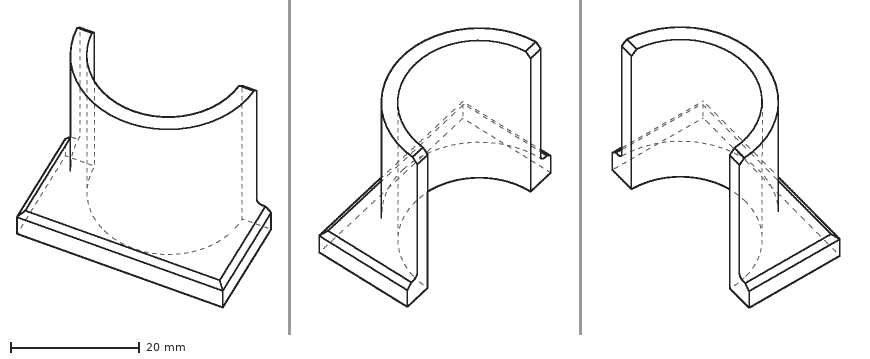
import cadquery as cq

base_width = 35.55
base_depth = base_width / 2
base_height = 5.0

total_height = 33.05
outer_radius = 15.3
wall_thickness = 2.55
inner_radius = outer_radius - wall_thickness

edge_size = 1.0


def make_base():
    """Plate with its top edge chamfered on every side except the back."""
    plate = cq.Workplane("XY").box(
        base_width, base_depth, base_height, centered=(True, False, False)
    ).translate((0, -base_depth, 0))
    return plate.faces(">Z").edges("not >Y").chamfer(edge_size)


def make_sleeve():
    """Half cylinder with a concave fillet flaring out onto the base."""
    foot_radius = outer_radius + edge_size
    fillet_top = base_height + edge_size
    fillet_mid_offset = edge_size * (1 - 0.5**0.5)
    profile = (
        cq.Workplane("XZ")
        .lineTo(outer_radius, 0)
        .lineTo(outer_radius, base_height)
        .lineTo(foot_radius, base_height)
        .threePointArc(
            (outer_radius + fillet_mid_offset, base_height + fillet_mid_offset),
            (outer_radius, fillet_top),
        )
        .lineTo(outer_radius, total_height)
        .lineTo(0, total_height)
        .close()
    )
    full_turn = profile.revolve(360, (0, 0), (0, 1))
    front_half = cq.Workplane("XY").box(
        base_width, base_depth, total_height, centered=(True, False, False)
    ).translate((0, -base_depth, 0))
    return full_turn.intersect(front_half)


def make_bore():
    """Cylinder that hollows the sleeve and passes through the base."""
    return cq.Workplane("XY").circle(inner_radius).extrude(total_height)


def make_top_bevel():
    """Wedge that bevels the top back edges of the sleeve walls."""
    return (
        cq.Workplane("YZ")
        .moveTo(0, total_height)
        .lineTo(-edge_size, total_height)
        .lineTo(0, total_height - edge_size)
        .close()
        .extrude(base_width / 2, both=True)
    )


result = make_base().union(make_sleeve()).cut(make_bore()).cut(make_top_bevel())